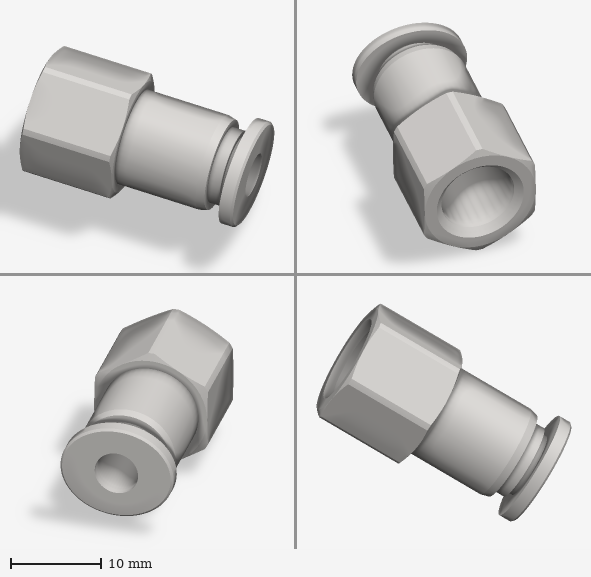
import cadquery as cq

hex_end = 11.0
body_end = 21.55
collar_end = 23.0
neck_end = 23.73
total_length = 25.35

across_flats = 13.0
across_corners = 14.6
hex_face_diameter = 12.95
hex_chamfer_length = 0.33

body_diameter = 11.0
body_tip_diameter = 10.5
body_chamfer_length = 0.96
collar_diameter = 8.8
neck_diameter = 7.53

flange_width = across_flats
flange_height = body_diameter
flange_chamfer = 0.25

port_mouth_diameter = 10.2
port_diameter = 8.52
port_floor_diameter = 7.99
port_chamfer_depth = 0.84
port_depth = 9.35
passage_diameter = 5.0


def revolve_about_x(points):
    """Turn a closed (x, radius) outline into a solid around the X axis."""
    outline = cq.Workplane("XY").polyline(points).close()
    return outline.revolve(360, (0, 0, 0), (1, 0, 0))


def cylinder_along_x(start, end, diameter):
    return cq.Workplane("YZ", origin=(start, 0, 0)).circle(diameter / 2).extrude(end - start)


def hexagon():
    prism = (
        cq.Workplane("YZ")
        .polygon(6, across_flats, circumscribed=True)
        .extrude(hex_end)
    )
    turned_envelope = revolve_about_x([
        (0, 0),
        (0, hex_face_diameter / 2),
        (hex_chamfer_length, across_corners / 2),
        (hex_end - hex_chamfer_length, across_corners / 2),
        (hex_end, hex_face_diameter / 2),
        (hex_end, 0),
    ])
    return prism.intersect(turned_envelope)


def body():
    return revolve_about_x([
        (hex_end, 0),
        (hex_end, body_diameter / 2),
        (body_end - body_chamfer_length, body_diameter / 2),
        (body_end, body_tip_diameter / 2),
        (body_end, 0),
    ])


def flange():
    return (
        cq.Workplane("YZ", origin=(neck_end, 0, 0))
        .ellipse(flange_width / 2, flange_height / 2)
        .extrude(total_length - neck_end)
        .faces(">X")
        .chamfer(flange_chamfer)
    )


def port():
    return revolve_about_x([
        (0, 0),
        (0, port_mouth_diameter / 2),
        (port_chamfer_depth, port_diameter / 2),
        (port_depth, port_floor_diameter / 2),
        (port_depth, 0),
    ])


result = (
    hexagon()
    .union(body())
    .union(cylinder_along_x(body_end, collar_end, collar_diameter))
    .union(cylinder_along_x(collar_end, neck_end, neck_diameter))
    .union(flange())
    .cut(port())
    .cut(cylinder_along_x(0, total_length, passage_diameter))
)